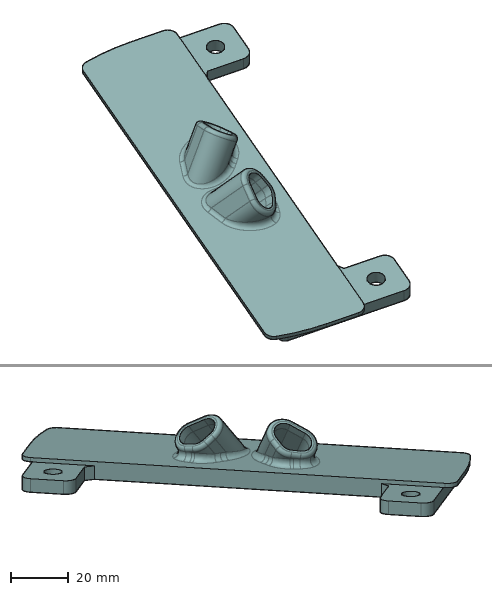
import cadquery as cq
import math

plate_length = 154.0
overall_depth = 56.8
plate_depth = 37.1
plate_thickness = 1.5
body_thickness = 5.0
plate_top = body_thickness + plate_thickness

plate_corner_radius = 3.7
end_bow_start = 21.3
end_bow_radius = 81.6

body_length = 145.5
body_front = 5.2
front_step = 0.8
step_outer_inset = 4.5
step_inner_inset = 8.3
tab_width = 19.0
tab_gusset_width = 3.1
tab_gusset_depth = 2.2
tab_corner_radius = 3.7
body_corner_radius = 2.3
tab_hole_diameter = 6.3
tab_hole_from_back = 9.9

nozzle_side_lean = 26.5
nozzle_back_lean = 34.5
nozzle_base_x = 12.2
nozzle_base_y = 17.9
nozzle_height = 9.5
nozzle_flat = 6.0
nozzle_ridge = 1.5
nozzle_radius = 6.3
nozzle_wall = 2.6
rim_fillet = 1.5
base_fillet = 2.0
mouth_depth = 3.1
mouth_taper = 5.0
nozzle_length = 30.8
edge_margin = 0.2


def make_plate():
    half_length = plate_length / 2
    bow_angle = math.asin(end_bow_start / end_bow_radius)

    def bow_inset(angle):
        return end_bow_radius * (1 - math.cos(angle))

    front_x = half_length - bow_inset(bow_angle)
    middle_x = half_length - bow_inset(bow_angle / 2)
    middle_y = end_bow_start - end_bow_radius * math.sin(bow_angle / 2)
    outline = (
        cq.Workplane("XY", origin=(0, 0, body_thickness))
        .moveTo(-front_x, 0)
        .lineTo(front_x, 0)
        .threePointArc((middle_x, middle_y), (half_length, end_bow_start))
        .lineTo(half_length, plate_depth)
        .lineTo(-half_length, plate_depth)
        .lineTo(-half_length, end_bow_start)
        .threePointArc((-middle_x, middle_y), (-front_x, 0))
        .close()
    )
    plate = outline.extrude(plate_thickness)
    plate = plate.edges("|Z and <Y").fillet(plate_corner_radius)
    return plate.edges("|Z and >Y").fillet(plate_corner_radius)


def make_body():
    side = body_length / 2
    tab_inner = side - tab_width
    stepped_front = body_front + front_step
    right_half = [
        (side - step_inner_inset, body_front),
        (side - step_outer_inset, stepped_front),
        (side, stepped_front),
        (side, overall_depth),
        (tab_inner, overall_depth),
        (tab_inner, plate_depth + tab_gusset_depth),
        (tab_inner - tab_gusset_width, plate_depth),
    ]
    left_half = [(-x, y) for x, y in reversed(right_half)]
    body = cq.Workplane("XY").polyline(right_half + left_half).close().extrude(body_thickness)
    body = body.edges("|Z and >Y").fillet(tab_corner_radius)
    body = body.edges("|Z and (<X or >X)").edges("<Y").fillet(body_corner_radius)

    hole_x = side - tab_width / 2
    hole_y = overall_depth - tab_hole_from_back
    holes = (
        cq.Workplane("XY")
        .pushPoints([(-hole_x, hole_y), (hole_x, hole_y)])
        .circle(tab_hole_diameter / 2)
        .extrude(body_thickness)
    )
    return body.cut(holes)


def lean_directions():
    """Axis of the left nozzle and the direction of its flats."""
    side = math.radians(nozzle_side_lean)
    back = math.radians(nozzle_back_lean)
    axis = cq.Vector(-math.sin(side) * math.cos(back), math.sin(back), math.cos(side) * math.cos(back))
    flat = cq.Vector(math.cos(side), 0, math.sin(side))
    return axis, flat


def nozzle_section(radius, depth):
    """Rounded-triangle outline across the nozzle axis, at a depth below the rim."""
    axis, flat = lean_directions()
    base = cq.Vector(-nozzle_base_x, nozzle_base_y, plate_top)
    centre = base + axis * (nozzle_height / axis.z - depth)
    section_plane = cq.Plane(origin=centre.toTuple(), xDir=flat.toTuple(), normal=axis.toTuple())
    corners = [(-nozzle_flat / 2, 0), (nozzle_flat / 2, 0), (0, nozzle_ridge)]
    return cq.Workplane(section_plane).polyline(corners).close().offset2D(radius)


def make_nozzle():
    axis, _ = lean_directions()
    tube = nozzle_section(nozzle_radius, 0).extrude(-nozzle_length)
    tube = tube.faces(cq.selectors.DirectionMinMaxSelector(axis)).edges().fillet(rim_fillet)
    below_plate = (
        cq.Workplane("XY", origin=(0, 0, body_thickness))
        .rect(plate_length, plate_length)
        .extrude(-plate_length)
    )
    return tube.cut(below_plate)


def make_bore():
    bore_radius = nozzle_radius - nozzle_wall
    bore = nozzle_section(bore_radius, 0).extrude(-nozzle_length)
    mouth = nozzle_section(bore_radius, mouth_depth).extrude(mouth_depth, taper=-mouth_taper)
    return bore.union(mouth)


def round_nozzle_bases(body):
    """Blend both nozzles into the top face of the plate."""
    nozzle_feet = cq.selectors.BoxSelector(
        (-plate_length / 4, edge_margin, plate_top - edge_margin),
        (plate_length / 4, plate_depth - edge_margin, plate_top + edge_margin),
        boundingbox=True,
    )
    return body.edges(nozzle_feet).fillet(base_fillet)


nozzle = make_nozzle()
bore = make_bore()
plate_with_nozzles = make_plate().union(nozzle).union(nozzle.mirror("YZ"))
part = round_nozzle_bases(plate_with_nozzles).union(make_body())
result = part.cut(bore).cut(bore.mirror("YZ"))